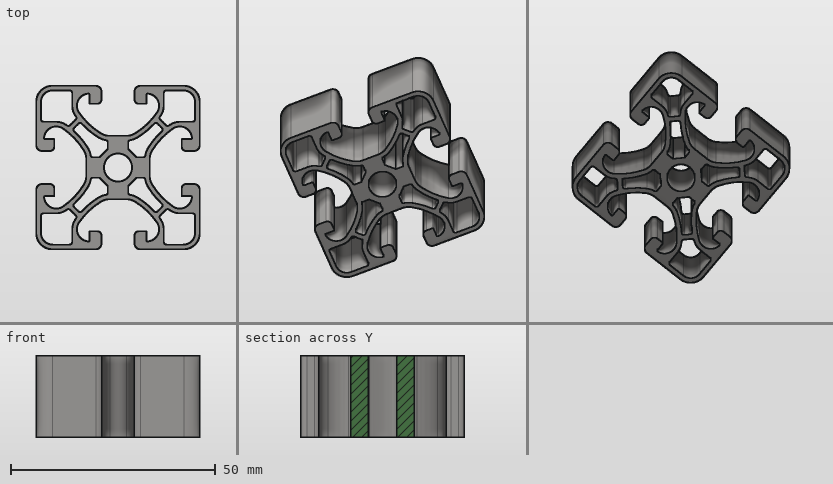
import cadquery as cq
import math

SIDE = 40.0
LENGTH = 20.0
HALF_SIDE = SIDE / 2
OUTER_RADIUS = 4.0

WALL = 1.2
BORE_DIAMETER = 6.8
CORE_HALF_WIDTH = 2.5
CORE_CHAMFER_DISTANCE = 5.0
WEB_OUTER_DISTANCE = 15.6
WEB_INNER_DISTANCE = WEB_OUTER_DISTANCE - WALL
CORNER_CAVITY_RADIUS = 0.65
WEB_CORNER_RADIUS = 0.6
CORE_CORNER_RADIUS = 0.4

SLOT_HALF_WIDTH = 4.0
LIP_WIDTH = 3.0
LIP_DEPTH = 4.5
LIP_OUTER_RADIUS = 1.5
LIP_INNER_RADIUS = 1.15
LIP_CORNER_RADIUS = 0.25
LIP_BACK = SLOT_HALF_WIDTH + LIP_WIDTH
LIP_BOTTOM = HALF_SIDE - LIP_DEPTH

SLOT_REACH = 10.0
HOOK_RADIUS = 2.95
HOOK_TOP = 18.05
FLANK_RADIUS = 17.6
FLANK_DISTANCE = 2.5
FLOOR_RADIUS = 4.15
FLOOR_HEIGHT = 7.75

ROOT_2 = math.sqrt(2)
HOOK_CENTRE = (SLOT_REACH - HOOK_RADIUS, HOOK_TOP - HOOK_RADIUS)
FLANK_ACROSS = FLANK_DISTANCE + FLANK_RADIUS
HOOK_ACROSS = (HOOK_CENTRE[1] - HOOK_CENTRE[0]) / ROOT_2
HOOK_ALONG = (HOOK_CENTRE[1] + HOOK_CENTRE[0]) / ROOT_2
FLANK_ALONG = HOOK_ALONG - math.sqrt((FLANK_RADIUS - HOOK_RADIUS) ** 2 - (FLANK_ACROSS - HOOK_ACROSS) ** 2)
FLANK_CENTRE = ((FLANK_ALONG - FLANK_ACROSS) / ROOT_2, (FLANK_ALONG + FLANK_ACROSS) / ROOT_2)
FLOOR_CENTRE_Y = FLOOR_HEIGHT + FLOOR_RADIUS
FLOOR_CENTRE_X = FLANK_CENTRE[0] + math.sqrt(
    (FLANK_RADIUS - FLOOR_RADIUS) ** 2 - (FLANK_CENTRE[1] - FLOOR_CENTRE_Y) ** 2
)
FLOOR_CENTRE = (FLOOR_CENTRE_X, FLOOR_CENTRE_Y)


def prism(points):
    """Extrude a closed polygon over the full length."""
    return cq.Workplane("XY").polyline(points).close().extrude(LENGTH)


def swapped(points):
    """Mirror points across the corner diagonal, in reverse order."""
    return [(y, x) for x, y in reversed(points)]


def round_edges(body, points, radius):
    """Round the upright edge nearest to each point."""
    for x, y in points:
        body = body.edges(cq.selectors.NearestToPointSelector((x, y, LENGTH / 2))).fillet(radius)
    return body


def on_circle(centre, radius, angle):
    return (centre[0] + radius * math.cos(angle), centre[1] + radius * math.sin(angle))


def angle_from_flank_centre(point):
    return math.atan2(point[1] - FLANK_CENTRE[1], point[0] - FLANK_CENTRE[0])


def arc_to(path, centre, radius, start, end):
    """Continue a path along a circle from one angle to another."""
    return path.threePointArc(on_circle(centre, radius, (start + end) / 2), on_circle(centre, radius, end))


def half_hollow(growth, hook_end):
    """+X half of the slot's rounded boundary, moved outward by growth, up to an angle on the hook arc."""
    floor_joint = angle_from_flank_centre(FLOOR_CENTRE)
    hook_joint = angle_from_flank_centre(HOOK_CENTRE)
    path = cq.Workplane("XY").moveTo(0, FLOOR_HEIGHT - growth).lineTo(FLOOR_CENTRE[0], FLOOR_HEIGHT - growth)
    path = arc_to(path, FLOOR_CENTRE, FLOOR_RADIUS + growth, -math.pi / 2, floor_joint)
    path = arc_to(path, FLANK_CENTRE, FLANK_RADIUS + growth, floor_joint, hook_joint)
    return arc_to(path, HOOK_CENTRE, HOOK_RADIUS + growth, hook_joint, hook_end)


def make_slot():
    """Undercut slot of the +Y side, open between its two lips."""
    hook_end = math.acos((LIP_BACK - HOOK_CENTRE[0]) / HOOK_RADIUS)
    half = (
        half_hollow(0, hook_end)
        .lineTo(LIP_BACK, LIP_BOTTOM)
        .lineTo(SLOT_HALF_WIDTH, LIP_BOTTOM)
        .lineTo(SLOT_HALF_WIDTH, HALF_SIDE)
        .lineTo(0, HALF_SIDE)
        .close()
        .extrude(LENGTH)
    )
    half = round_edges(half, [(LIP_BACK, HOOK_TOP), (LIP_BACK, LIP_BOTTOM)], LIP_CORNER_RADIUS)
    half = round_edges(half, [(SLOT_HALF_WIDTH, LIP_BOTTOM)], LIP_INNER_RADIUS)
    return half.union(half.mirror("YZ"))


def make_slot_walls():
    """Slots of the +X and +Y sides grown by the wall thickness, which bound the cavities of a corner."""
    upper = (
        half_hollow(WALL, 0)
        .lineTo(SLOT_REACH + WALL, HALF_SIDE)
        .lineTo(0, HALF_SIDE)
        .close()
        .extrude(LENGTH)
    )
    right = upper.rotate((0, 0, 0), (1, 1, 0), 180).translate((0, 0, LENGTH))
    return upper.union(right)


def web_corners(distance):
    """Points where a web face at this distance from the centre meets the two grown flanks."""
    radius = FLANK_RADIUS + WALL
    across = FLANK_ACROSS - math.sqrt(radius**2 - (distance - FLANK_ALONG) ** 2)
    corner = ((distance - across) / ROOT_2, (distance + across) / ROOT_2)
    return [corner, corner[::-1]]


def make_corner_cavity(slot_walls):
    """Square cavity of the +X +Y corner with a wedge pointing at the centre."""
    outer = HALF_SIDE - WALL
    inner = SLOT_REACH + WALL
    web_sum = WEB_OUTER_DISTANCE * ROOT_2
    side = [(web_sum - outer, outer), (outer, outer)]
    cavity = prism(side + [(outer, web_sum - outer)]).cut(slot_walls)
    cavity = round_edges(cavity, [(outer, outer)], OUTER_RADIUS - WALL)
    cavity = round_edges(cavity, [(inner, outer), (outer, inner)], CORNER_CAVITY_RADIUS)
    return round_edges(cavity, web_corners(WEB_OUTER_DISTANCE), WEB_CORNER_RADIUS)


def make_core_cavity(slot_walls):
    """Tapering cavity between the core around the bore and the diagonal web."""
    web_sum = WEB_INNER_DISTANCE * ROOT_2
    chamfer_sum = CORE_CHAMFER_DISTANCE * ROOT_2
    side = [
        (CORE_HALF_WIDTH, chamfer_sum - CORE_HALF_WIDTH),
        (CORE_HALF_WIDTH, web_sum - CORE_HALF_WIDTH),
    ]
    cavity = prism(side + swapped(side)).cut(slot_walls)
    core_corner = (CORE_HALF_WIDTH, FLOOR_HEIGHT - WALL)
    cavity = round_edges(cavity, [core_corner, core_corner[::-1]], CORE_CORNER_RADIUS)
    return round_edges(cavity, web_corners(WEB_INNER_DISTANCE), WEB_CORNER_RADIUS)


def make_profile():
    body = cq.Workplane("XY").rect(SIDE, SIDE).extrude(LENGTH).edges("|Z").fillet(OUTER_RADIUS)
    slot_walls = make_slot_walls()
    cutters = [make_slot(), make_corner_cavity(slot_walls), make_core_cavity(slot_walls)]
    for quarter in range(4):
        for cutter in cutters:
            body = body.cut(cutter.rotate((0, 0, 0), (0, 0, 1), 90 * quarter))
    body = body.cut(cq.Workplane("XY").circle(BORE_DIAMETER / 2).extrude(LENGTH))
    lip_corners = []
    for x in (-SLOT_HALF_WIDTH, SLOT_HALF_WIDTH):
        for y in (-HALF_SIDE, HALF_SIDE):
            lip_corners += [(x, y), (y, x)]
    return round_edges(body, lip_corners, LIP_OUTER_RADIUS)


result = make_profile()